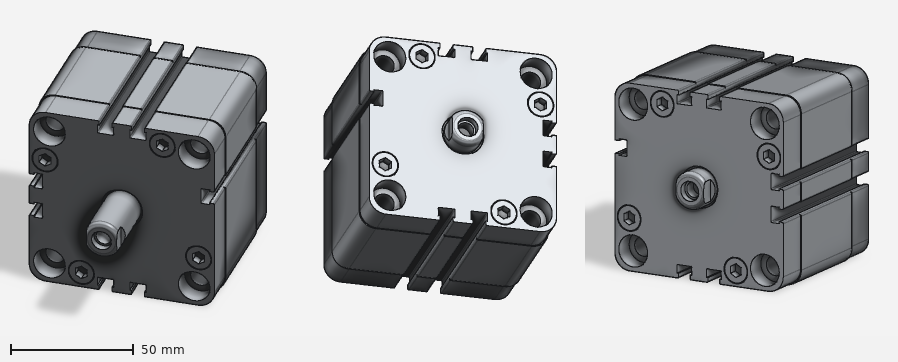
import cadquery as cq
import math


tube_side = 80.0
cap_side = 79.3
corner_radius = 7.0
tube_length = 41.6
cap_length = 14.2
body_half = tube_length / 2 + cap_length

rod_diameter = 16.0
rod_front_stickout = 27.4
overall_length = 105
rod_front_end = -body_half - rod_front_stickout
rod_rear_end = rod_front_end + overall_length
rod_end_fillet = 2.0
flat_width = 13.0
flat_length = 5.6
thread_diameter = 8.4
thread_depth = 3.4
core_diameter = 6.6
core_depth = 14.7
drill_tip_angle = 118

rod_bore_diameter = 17.6
rod_bore_depth = 1

slot_offset = 6.9
single_slot_offset = 12.0
slot_mouth_width = 5.5
slot_inner_width = 6.9
slot_lip = 2.4
slot_depth = 6.1
slot_mouth_fillet = 0.5
slot_floor_fillet = 0.4

mount_pitch = 62
mount_diameter = 8.4
mount_counterbore_diameter = 13.5
mount_counterbore_depth = 8.5

screw_offset_near = 17.3
screw_offset_far = 32.9
screw_recess_diameter = 11.1
screw_head_diameter = 10.5
screw_head_height = 6.0
socket_across_flats = 5.0
socket_depth = 4.0
socket_angle = 30

side_angles = (0, 90, 180, 270)


def cylinder(diameter, start, length, x=0, z=0):
    """Solid cylinder along +Y starting at y = start."""
    return cq.Workplane("XZ", origin=(x, start, z)).circle(diameter / 2).extrude(-length)


def turn(shape, angle):
    """Turn a shape about the Y axis."""
    return shape.rotate((0, 0, 0), (0, 1, 0), angle)


def slot_cutter(offset, side, length):
    """T-slot with rounded mouth and floor edges for the +Z side of a block, centred at x = offset."""
    top = side / 2
    floor = tube_side / 2 - slot_depth
    lip_bottom = tube_side / 2 - slot_lip
    mouth = slot_mouth_width / 2
    inner = slot_inner_width / 2
    rounded_from = top - slot_mouth_fillet
    flare = mouth + slot_mouth_fillet
    bulge = slot_mouth_fillet * (1 - math.sqrt(0.5))
    profile = (cq.Workplane("XZ", origin=(offset, -length / 2, 0))
               .moveTo(-flare, top)
               .threePointArc((-mouth - bulge, top - bulge), (-mouth, rounded_from))
               .lineTo(-mouth, lip_bottom)
               .lineTo(-inner, lip_bottom)
               .lineTo(-inner, floor)
               .lineTo(inner, floor)
               .lineTo(inner, lip_bottom)
               .lineTo(mouth, lip_bottom)
               .lineTo(mouth, rounded_from)
               .threePointArc((mouth + bulge, top - bulge), (flare, top))
               .close())
    return profile.extrude(-length).edges("|Y and <Z").fillet(slot_floor_fillet)


def slotted_block(side, length):
    """Square block centred on the origin, with two slots on three sides and one on +X."""
    block = cq.Workplane("XY").box(side, length, side).edges("|Y").fillet(corner_radius)
    for angle in (0, 180, 270):
        for offset in (-slot_offset, slot_offset):
            block = block.cut(turn(slot_cutter(offset, side, length), angle))
    return block.cut(turn(slot_cutter(-single_slot_offset, side, length), 90))


def make_body():
    """Tube and the two end caps as one solid."""
    cap_center = (tube_length + cap_length) / 2
    body = slotted_block(tube_side, tube_length)
    cap = slotted_block(cap_side, cap_length)
    for y in (-cap_center, cap_center):
        body = body.union(cap.translate((0, y, 0)))
    return body


def cap_face_cutter():
    """Rod clearance, mounting counterbores and screw recesses of the front cap face."""
    cutter = cylinder(rod_bore_diameter, -body_half, rod_bore_depth)
    counterbore = cylinder(mount_counterbore_diameter, -body_half, mount_counterbore_depth,
                           mount_pitch / 2, mount_pitch / 2)
    recess = cylinder(screw_recess_diameter, -body_half, screw_head_height,
                      screw_offset_near, screw_offset_far)
    for angle in side_angles:
        cutter = cutter.union(turn(counterbore, angle)).union(turn(recess, angle))
    return cutter


def cap_screw_heads():
    """Four socket screw heads, level with the front cap face, all sockets facing the same way."""
    socket_corners = socket_across_flats / math.cos(math.pi / 6)
    head = cylinder(screw_head_diameter, -body_half, screw_head_height)
    socket = (cq.Workplane("XZ", origin=(0, -body_half, 0))
              .polygon(6, socket_corners).extrude(-socket_depth))
    head = head.cut(turn(socket, socket_angle))
    heads = cq.Workplane("XY")
    for angle in side_angles:
        turned = math.radians(angle)
        x = screw_offset_near * math.cos(turned) + screw_offset_far * math.sin(turned)
        z = screw_offset_far * math.cos(turned) - screw_offset_near * math.sin(turned)
        heads = heads.union(head.translate((x, 0, z)))
    return heads


def rod_end_cutter():
    """Flats and threaded hole for the front rod end."""
    flat = flat_width / 2
    reach = rod_diameter
    run_out = reach - flat
    flat_end = rod_front_end + flat_length
    side = (cq.Workplane("XY", origin=(0, 0, -reach / 2))
            .polyline([(flat, rod_front_end), (flat, flat_end),
                       (reach, flat_end + run_out), (reach, rod_front_end)])
            .close().extrude(reach))
    tip_height = core_diameter / 2 / math.tan(math.radians(drill_tip_angle / 2))
    core = (cq.Workplane("XY")
            .polyline([(0, rod_front_end), (core_diameter / 2, rod_front_end),
                       (core_diameter / 2, rod_front_end + core_depth),
                       (0, rod_front_end + core_depth + tip_height)])
            .close().revolve(axisStart=(0, 0, 0), axisEnd=(0, 1, 0)))
    thread = cylinder(thread_diameter, rod_front_end, thread_depth)
    return side.union(side.mirror("YZ")).union(core).union(thread)


def make_rod():
    """Through rod with rounded ends, both cut alike."""
    rod = cylinder(rod_diameter, rod_front_end, overall_length)
    rod = rod.faces("<Y or >Y").edges().fillet(rod_end_fillet)
    front_cutter = rod_end_cutter()
    rear_cutter = front_cutter.mirror("XZ").translate((0, rod_front_end + rod_rear_end, 0))
    return rod.cut(front_cutter).cut(rear_cutter)


body = make_body()
face_cutter = cap_face_cutter()
body = body.cut(face_cutter).cut(face_cutter.mirror("XZ"))

mount_hole = cylinder(mount_diameter, -body_half, 2 * body_half, mount_pitch / 2, mount_pitch / 2)
for angle in side_angles:
    body = body.cut(turn(mount_hole, angle))

heads = cap_screw_heads()
result = body.union(heads).union(heads.mirror("XZ")).union(make_rod())